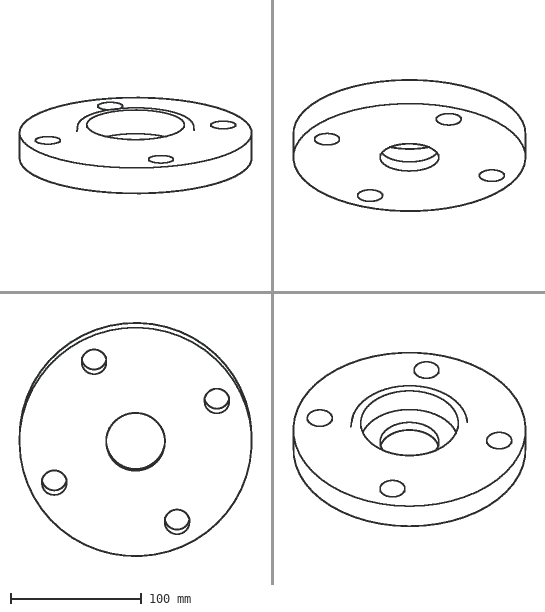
import cadquery as cq
import math

flange_diameter = 177.8
flange_thickness = 20.57

overall_height = 26.92
hub_base_diameter = 90.0
hub_draft_angle = 6.0
hub_top_fillet = 2.0
hub_base_fillet = 1.5

bore_diameter = 44.9
socket_diameter = 74.7
socket_depth = 19.05

bolt_count = 4
bolt_hole_diameter = 19.05
bolt_circle_diameter = 139.7

hub_height = overall_height - flange_thickness
hub_base_radius = hub_base_diameter / 2
hub_top_radius = hub_base_radius - hub_height * math.tan(math.radians(hub_draft_angle))


def make_flange_with_hub():
    """Flange disc resting on Z = 0 with the tapered hub blended into its upper face."""
    flange = cq.Workplane("XY").circle(flange_diameter / 2).extrude(flange_thickness)
    hub = cq.Workplane(cq.Solid.makeCone(
        hub_base_radius,
        hub_top_radius,
        hub_height,
        pnt=cq.Vector(0, 0, flange_thickness),
    ))
    body = flange.union(hub)
    hub_root_edge = cq.selectors.RadiusNthSelector(1)
    body = body.edges(hub_root_edge).fillet(hub_base_fillet)
    return body.faces(">Z").edges().fillet(hub_top_fillet)


def cut_bore_and_socket(body):
    """Cut the through bore and the flat-bottomed socket along the Z axis."""
    body = body.cut(cq.Workplane("XY").circle(bore_diameter / 2).extrude(overall_height))
    socket = (
        cq.Workplane("XY")
        .workplane(offset=overall_height - socket_depth)
        .circle(socket_diameter / 2)
        .extrude(socket_depth)
    )
    return body.cut(socket)


def cut_bolt_holes(body):
    """Cut the evenly spaced through holes on the bolt circle, the first on +X."""
    holes = (
        cq.Workplane("XY")
        .polarArray(bolt_circle_diameter / 2, 0, 360, bolt_count)
        .circle(bolt_hole_diameter / 2)
        .extrude(flange_thickness)
    )
    return body.cut(holes)


result = cut_bolt_holes(cut_bore_and_socket(make_flange_with_hub()))